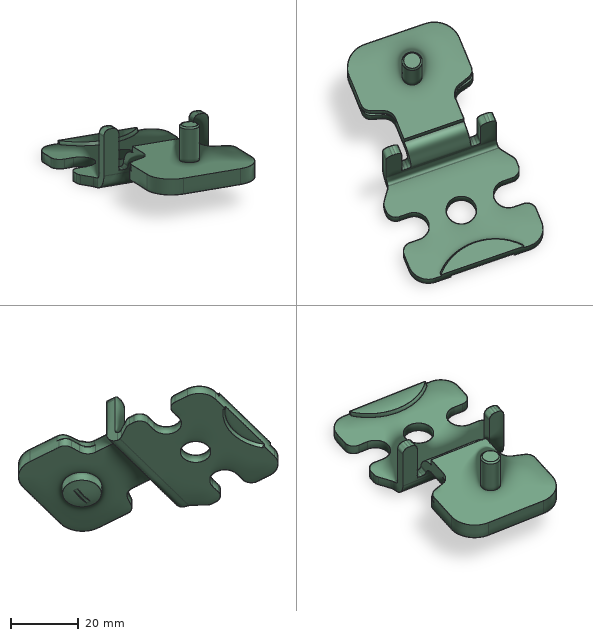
import cadquery as cq
import math

thickness = 3.0
base_half_width = 21.0
base_corner_radius = 6.0
hole_diameter = 9.0
hole_x = 18.0
notch_depth = 10.5
notch_lip_radius = 3.0
shoulder_x = 28.0

upright_x = 35.0
upright_half_width = 17.5
bend_inner_radius = 2.0
tab_width = 5.0
tab_top = 19.5
tab_tip_radius = 2.0

tongue_half_width = 9.5
tongue_bottom = 6.0
tongue_inner_radius = 3.0
slot_corner_radius = 1.0

head_end_x = 74.0
head_corner_radius = 8.0
overlay_thickness = 2.0
neck_radius = 4.0
head_shoulder_radius = 3.0
tongue_neck_x = 50.7
tongue_head_x = 53.0
overlay_neck_x = 50.95
overlay_head_x = 53.9

screw_x = 59.45
shank_diameter = 6.0
shank_top = 25.0
shank_chamfer = 0.5
pan_top_radius = 5.9
pan_radius = 6.0
pan_rim_radius = 5.75
pan_side_height = 3.1
pan_dome_height = 1.4
drive_slot_width = 1.3
drive_slot_depth = 0.45

pad_centre_x = -10.85
pad_base_radius = 17.75
pad_top_radius = 17.15
pad_height = 1.0
pad_half_width = 13.1
recess_base_radius = 15.4
recess_top_radius = 14.8
recess_depth = 1.0
recess_half_width = 10.0

upright_outer_x = upright_x + thickness
bend_outer_radius = bend_inner_radius + thickness
tongue_outer_radius = tongue_inner_radius + thickness
tongue_flat_x = upright_outer_x + tongue_inner_radius
tongue_underside = tongue_bottom + tongue_inner_radius
overlay_bottom = tongue_underside + thickness
tab_inner_y = upright_half_width - tab_width
bend_diagonal = math.sqrt(0.5)
join_tolerance = 1e-6


def rounded_outline(corners, plane="XY"):
    """Closed wire from (u, v, radius) corners; each corner is rounded by its radius."""
    stretches = []
    for index, (u, v, radius) in enumerate(corners):
        corner = cq.Vector(u, v)
        if radius == 0:
            stretches.append((corner, None, corner))
            continue
        before = cq.Vector(*corners[index - 1][:2])
        after = cq.Vector(*corners[(index + 1) % len(corners)][:2])
        to_before = (before - corner).normalized()
        to_after = (after - corner).normalized()
        half_angle = to_before.getAngle(to_after) / 2
        tangent_length = radius / math.tan(half_angle)
        bisector = (to_before + to_after).normalized()
        arc_middle = corner + bisector * (radius / math.sin(half_angle) - radius)
        arc_start = corner + to_before * tangent_length
        arc_end = corner + to_after * tangent_length
        stretches.append((arc_start, arc_middle, arc_end))

    end = stretches[-1][2]
    outline = cq.Workplane(plane).moveTo(end.x, end.y)
    for start, middle, next_end in stretches:
        if (start - end).Length > join_tolerance:
            outline = outline.lineTo(start.x, start.y)
        if middle is not None:
            outline = outline.threePointArc((middle.x, middle.y), (next_end.x, next_end.y))
        end = next_end
    return outline.close()


def mirrored(half):
    """Corners of a full outline from its +Y half."""
    return half + [(x, -y, radius) for x, y, radius in reversed(half)]


def make_base():
    """Base plate and its bend, up to the foot of the tabs and tongue."""
    bend_centre_x = upright_x - bend_inner_radius
    bend_centre_z = bend_outer_radius
    profile = (
        cq.Workplane("XZ")
        .lineTo(bend_centre_x, 0)
        .radiusArc((upright_outer_x, bend_centre_z), -bend_outer_radius)
        .lineTo(upright_outer_x, tongue_bottom)
        .lineTo(upright_x, tongue_bottom)
        .lineTo(upright_x, bend_centre_z)
        .radiusArc((bend_centre_x, thickness), bend_inner_radius)
        .lineTo(0, thickness)
        .close()
        .extrude(base_half_width, both=True)
    )
    hole_radius = hole_diameter / 2
    notch_left = hole_x - hole_radius
    notch_right = hole_x + hole_radius
    notch_bottom = base_half_width - notch_depth
    outline = rounded_outline(mirrored([
        (0, base_half_width, base_corner_radius),
        (notch_left, base_half_width, notch_lip_radius),
        (notch_left, notch_bottom, hole_radius),
        (notch_right, notch_bottom, hole_radius),
        (notch_right, base_half_width, notch_lip_radius),
        (shoulder_x, base_half_width, notch_lip_radius),
        (bend_centre_x, upright_half_width, notch_lip_radius),
        (upright_outer_x, upright_half_width, 0),
    ]))
    hole = cq.Workplane("XY").center(hole_x, 0).circle(hole_radius).extrude(thickness)
    return profile.intersect(outline.extrude(tongue_bottom)).cut(hole)


def make_tab():
    """Round-tipped tab on the +Y side of the upright."""
    outline = rounded_outline([
        (tab_inner_y, tongue_bottom, 0),
        (upright_half_width, tongue_bottom, 0),
        (upright_half_width, tab_top, tab_tip_radius),
        (tab_inner_y, tab_top, tab_tip_radius),
    ], "YZ")
    return outline.extrude(thickness).translate((upright_x, 0, 0))


def make_tongue_bend():
    """Quarter bend from the upright to the head, spanning the gap between the tabs."""
    inner_middle = (
        tongue_flat_x - tongue_inner_radius * bend_diagonal,
        tongue_bottom + tongue_inner_radius * bend_diagonal,
    )
    outer_middle = (
        tongue_flat_x - tongue_outer_radius * bend_diagonal,
        tongue_bottom + tongue_outer_radius * bend_diagonal,
    )
    return (
        cq.Workplane("XZ")
        .moveTo(upright_outer_x, tongue_bottom)
        .threePointArc(inner_middle, (tongue_flat_x, tongue_underside))
        .lineTo(tongue_flat_x, overlay_bottom)
        .threePointArc(outer_middle, (upright_x, tongue_bottom))
        .close()
        .extrude(tab_inner_y, both=True)
    )


def make_slot():
    """Gap between the tongue and the +Y tab, with rounded lower corners."""
    outline = rounded_outline([
        (tongue_half_width, tongue_bottom, slot_corner_radius),
        (tab_inner_y, tongue_bottom, slot_corner_radius),
        (tab_inner_y, overlay_bottom, 0),
        (tongue_half_width, overlay_bottom, 0),
    ], "YZ")
    return outline.extrude(tongue_flat_x - upright_x).translate((upright_x, 0, 0))


def make_head_plate(neck_x, head_x, bottom, height):
    """Flat plate with a narrow neck that widens to a rounded head."""
    outline = rounded_outline(mirrored([
        (tongue_flat_x, tongue_half_width, 0),
        (neck_x, tongue_half_width, neck_radius),
        (head_x, upright_half_width, head_shoulder_radius),
        (head_end_x, upright_half_width, head_corner_radius),
    ]))
    return outline.extrude(height).translate((0, 0, bottom))


def make_screw():
    """Pan-head screw standing up through the head plates."""
    shank_radius = shank_diameter / 2
    rim_z = tongue_underside - pan_side_height
    apex_z = rim_z - pan_dome_height
    dome_radius = (pan_rim_radius**2 + pan_dome_height**2) / (2 * pan_dome_height)
    body = (
        cq.Workplane("XZ")
        .moveTo(0, apex_z)
        .radiusArc((pan_rim_radius, rim_z), -dome_radius)
        .threePointArc(
            (pan_radius, tongue_underside - pan_side_height / 2),
            (pan_top_radius, tongue_underside),
        )
        .lineTo(shank_radius, tongue_underside)
        .lineTo(shank_radius, shank_top - shank_chamfer)
        .lineTo(shank_radius - shank_chamfer, shank_top)
        .lineTo(0, shank_top)
        .close()
        .revolve(360, (0, 0), (0, 1))
    )
    drive_slot = (
        cq.Workplane("XY", origin=(0, 0, apex_z))
        .rect(drive_slot_width, 2 * pan_radius)
        .extrude(drive_slot_depth)
    )
    return body.cut(drive_slot).translate((screw_x, 0, 0))


def make_cone_segment(base_radius, top_radius, half_width, bottom, height):
    """Part of a cone frustum inside the free edge of the base, cut square at both ends."""
    cone = cq.Solid.makeCone(
        base_radius, top_radius, height, cq.Vector(pad_centre_x, 0, bottom)
    )
    length = pad_centre_x + base_radius
    bounds = (
        cq.Workplane("XY", origin=(0, 0, bottom))
        .box(length, 2 * half_width, height, centered=(False, True, False))
    )
    return bounds.intersect(cq.Workplane(cone))


def make_pad():
    """Raised segment with a sloping rim on top of the base."""
    return make_cone_segment(pad_base_radius, pad_top_radius, pad_half_width, thickness, pad_height)


def make_pad_recess():
    """Shallow segment pressed into the underside below the pad."""
    return make_cone_segment(recess_base_radius, recess_top_radius, recess_half_width, 0, recess_depth)


def with_mirror(half):
    """A +Y feature together with its copy on the -Y side."""
    return half.union(half.mirror("XZ"))


base = make_base().union(make_pad()).cut(make_pad_recess())
tongue_bend = make_tongue_bend().cut(with_mirror(make_slot()))
tongue_head = make_head_plate(tongue_neck_x, tongue_head_x, tongue_underside, thickness)
overlay = make_head_plate(overlay_neck_x, overlay_head_x, overlay_bottom, overlay_thickness)

result = (
    base
    .union(with_mirror(make_tab()))
    .union(tongue_bend)
    .union(tongue_head)
    .union(overlay)
    .union(make_screw())
)